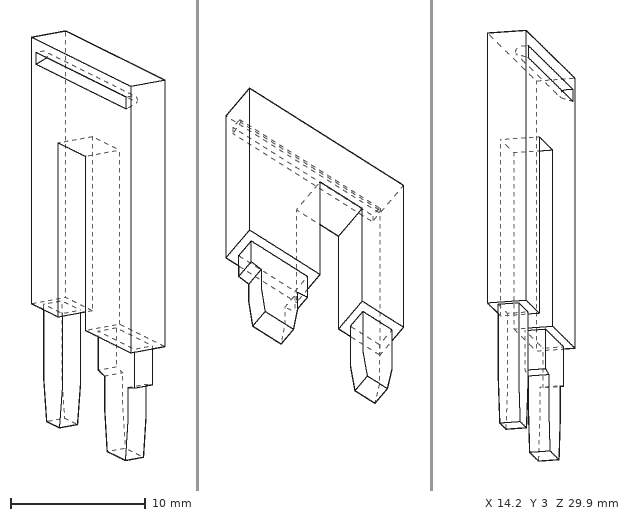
import cadquery as cq
import math

BODY_WIDTH = 14.25
BODY_DEPTH = 3.0
TOTAL_HEIGHT = 29.93
SHOULDER_Z = 9.07
GAP_LEFT = 3.83
GAP_RIGHT = 7.72
GAP_TOP_Z = 22.7

GROOVE_SIDE_MARGIN = 0.65
GROOVE_TOP_Z = TOTAL_HEIGHT - 1.02
GROOVE_HEIGHT = 0.93
GROOVE_DEPTH = 1.0
GROOVE_BACK_RADIUS = 0.42
GROOVE_FLOOR_RISE = 0.35

PIN_THICKNESS = 1.6
PIN_FRONT_Y = 0.72
TAPER_Z = 3.23
NARROW_PIN_CENTER = 1.92
NARROW_PIN_WIDTH = 2.7
NARROW_TIP_WIDTH = 1.85
WIDE_PIN_CENTER = (GAP_RIGHT + BODY_WIDTH) / 2
WIDE_PIN_WIDTH = 3.35
WIDE_TIP_WIDTH = 2.63
STEP_WIDTH = 5.2
STEP_OUTER_Z = 6.02
STEP_INNER_Z = 5.8


def make_body():
    plate = cq.Workplane("XY").box(BODY_WIDTH, BODY_DEPTH, TOTAL_HEIGHT - SHOULDER_Z, centered=False)
    gap = cq.Workplane("XY").box(GAP_RIGHT - GAP_LEFT, BODY_DEPTH, GAP_TOP_Z - SHOULDER_Z, centered=False)
    return plate.cut(gap.translate((GAP_LEFT, 0, 0))).translate((0, 0, SHOULDER_Z))


def make_groove():
    """Groove cutter: a YZ profile with a sloping floor and a rounded back, swept along X."""
    bottom_z = GROOVE_TOP_Z - GROOVE_HEIGHT
    arc_center_y = GROOVE_DEPTH - GROOVE_BACK_RADIUS
    arc_center_z = GROOVE_TOP_Z - GROOVE_BACK_RADIUS
    floor_back_z = bottom_z + GROOVE_FLOOR_RISE
    floor_back_y = arc_center_y + math.sqrt(GROOVE_BACK_RADIUS**2 - (floor_back_z - arc_center_z) ** 2)
    profile = (
        cq.Workplane("YZ", origin=(GROOVE_SIDE_MARGIN, 0, 0))
        .moveTo(0, bottom_z)
        .lineTo(floor_back_y, floor_back_z)
        .threePointArc((GROOVE_DEPTH, arc_center_z), (arc_center_y, GROOVE_TOP_Z))
        .lineTo(0, GROOVE_TOP_Z)
        .close()
    )
    return profile.extrude(BODY_WIDTH - 2 * GROOVE_SIDE_MARGIN)


def make_pin(center, width_levels):
    """Pin symmetric about center; width_levels lists (width, z) from tip to shoulder."""
    right_side = [(center + width / 2, z) for width, z in width_levels]
    left_side = [(center - width / 2, z) for width, z in reversed(width_levels)]
    return (
        cq.Workplane("XZ", origin=(0, PIN_FRONT_Y, 0))
        .polyline(right_side + left_side)
        .close()
        .extrude(-PIN_THICKNESS)
    )


narrow_pin = make_pin(
    NARROW_PIN_CENTER,
    [(NARROW_TIP_WIDTH, 0), (NARROW_PIN_WIDTH, TAPER_Z), (NARROW_PIN_WIDTH, SHOULDER_Z)],
)
wide_pin = make_pin(
    WIDE_PIN_CENTER,
    [
        (WIDE_TIP_WIDTH, 0),
        (WIDE_PIN_WIDTH, TAPER_Z),
        (WIDE_PIN_WIDTH, STEP_INNER_Z),
        (STEP_WIDTH, STEP_OUTER_Z),
        (STEP_WIDTH, SHOULDER_Z),
    ],
)

result = make_body().cut(make_groove()).union(narrow_pin).union(wide_pin)